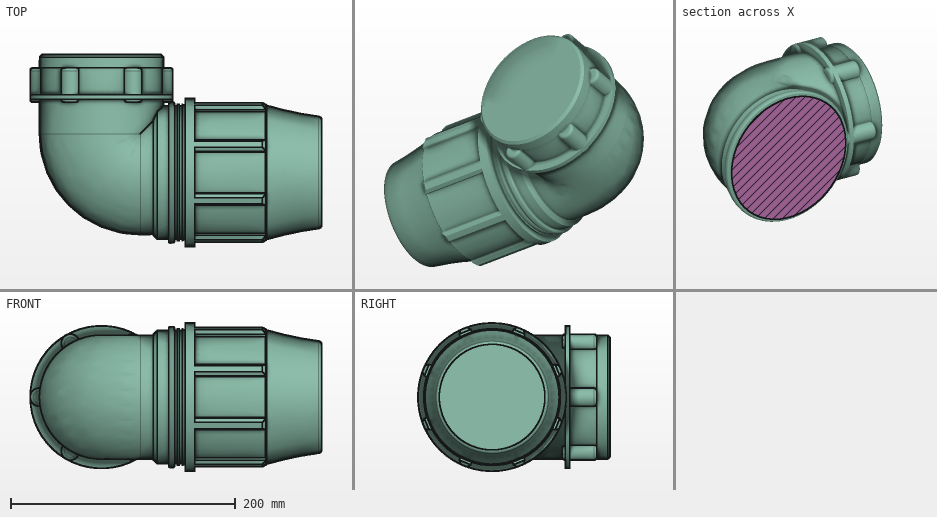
import cadquery as cq
import math


tube_radius = 110.4 / 2
collar_radius = 118.8 / 2
thread_radius = 121.64 / 2
seal_ring_radius = 125.4 / 2
branch_flange_radius = 126.96 / 2
nut_flange_radius = 132 / 2
overall_length = 259.48
branch_end_y = 105.0
coupling_end_x = overall_length - branch_flange_radius

bend_radius = 34.3

collar_start_x = 46.2
collar_full_x = 49.8
collar_start_radius = 56.0

seal_ring_start_x = 59.6
seal_ring_width = 5.4
seal_ring_fillet = 1.8

first_thread_x = 67.2
first_thread_width = 2.0
second_thread_x = 71.7

nut_flange_x = 74.3
nut_body_x = 83.0
nut_body_end_x = 147.0
nut_body_radius = thread_radius
nut_body_chamfer = 1.2
cone_end_x = 192.6
cone_end_radius = 50.0
cone_sag = 0.9
nut_tip_radius = 47.0

rib_count = 8
rib_top_half_width = 2.9
rib_half_width = 5.5
rib_shoulder_radius = 62.9
rib_root_depth = 4.0
rib_length = 63.2
rib_end_chamfer = nut_flange_radius - rib_shoulder_radius

rim_chamfer = 2.3
recess_radius = 54.4
recess_top_y = 93.1
branch_flange_top_y = 69.2
branch_flange_bottom_y = 65.1

lug_count = 6
lug_radius = 8.1
lug_fillet = 2.6
lug_bottom_y = branch_flange_bottom_y - lug_fillet
lug_circle_radius = branch_flange_radius - lug_radius

full_turn = 360
quarter_turn = 90


def make_bend():
    """Quarter turn of the tube, keeping only the material outside the bend axis."""
    half_chord = math.sqrt(tube_radius**2 - bend_radius**2)
    return (
        cq.Workplane("XZ", origin=(0, bend_radius, 0))
        .moveTo(bend_radius, -half_chord)
        .threePointArc((-tube_radius, 0), (bend_radius, half_chord))
        .close()
        .revolve(quarter_turn, (bend_radius, -1, 0), (bend_radius, 1, 0))
    )


def make_branch():
    """Stepped branch tube with its chamfered rim and flange, turned about Y."""
    profile = (
        cq.Workplane("XY")
        .moveTo(0, bend_radius)
        .lineTo(tube_radius, bend_radius)
        .lineTo(tube_radius, branch_flange_bottom_y)
        .lineTo(branch_flange_radius, branch_flange_bottom_y)
        .lineTo(branch_flange_radius, branch_flange_top_y)
        .lineTo(recess_radius, branch_flange_top_y)
        .lineTo(recess_radius, recess_top_y)
        .lineTo(tube_radius, recess_top_y)
        .lineTo(tube_radius, branch_end_y - rim_chamfer)
        .lineTo(tube_radius - rim_chamfer, branch_end_y)
        .lineTo(0, branch_end_y)
        .close()
    )
    return profile.revolve(full_turn, (0, 0, 0), (0, 1, 0))


def make_lugs():
    """Round-ended lugs spaced evenly around the branch collar."""
    return (
        cq.Workplane("XZ", origin=(0, recess_top_y, 0))
        .polarArray(lug_circle_radius, 0, full_turn, lug_count)
        .circle(lug_radius)
        .extrude(recess_top_y - lug_bottom_y)
        .edges("%CIRCLE")
        .fillet(lug_fillet)
    )


def make_coupling():
    """Tube, collar, threads and nut along X, turned as one profile."""
    cone_mid_x = (nut_body_end_x + cone_end_x) / 2
    cone_start_radius = nut_body_radius - nut_body_chamfer
    cone_mid_radius = (cone_start_radius + cone_end_radius) / 2 - cone_sag
    profile = (
        cq.Workplane("XY")
        .moveTo(bend_radius, 0)
        .lineTo(bend_radius, tube_radius)
        .lineTo(collar_start_x, tube_radius)
        .lineTo(collar_start_x, collar_start_radius)
        .lineTo(collar_full_x, collar_radius)
        .lineTo(first_thread_x, collar_radius)
        .lineTo(first_thread_x, thread_radius)
        .lineTo(first_thread_x + first_thread_width, thread_radius)
        .lineTo(first_thread_x + first_thread_width, collar_radius)
        .lineTo(second_thread_x, collar_radius)
        .lineTo(second_thread_x, thread_radius)
        .lineTo(nut_flange_x, collar_radius)
        .lineTo(nut_flange_x, nut_flange_radius)
        .lineTo(nut_body_x, nut_flange_radius)
        .lineTo(nut_body_x, nut_body_radius)
        .lineTo(nut_body_end_x - nut_body_chamfer, nut_body_radius)
        .lineTo(nut_body_end_x, cone_start_radius)
        .threePointArc((cone_mid_x, cone_mid_radius), (cone_end_x, cone_end_radius))
        .tangentArcPoint((coupling_end_x, nut_tip_radius), relative=False)
        .lineTo(coupling_end_x, 0)
        .close()
    )
    return profile.revolve(full_turn, (0, 0, 0), (1, 0, 0))


def make_seal_ring():
    """Ring with rounded shoulders seated on the collar."""
    return (
        cq.Workplane("YZ", origin=(seal_ring_start_x, 0, 0))
        .circle(seal_ring_radius)
        .extrude(seal_ring_width)
        .edges()
        .fillet(seal_ring_fillet)
    )


def make_ribs():
    """Grip ribs with bevelled tops, running from the nut flange along the nut body."""
    root_radius = nut_body_radius - rib_root_depth
    rib = (
        cq.Workplane("YZ", origin=(nut_body_x, 0, 0))
        .moveTo(-rib_half_width, root_radius)
        .lineTo(-rib_half_width, rib_shoulder_radius)
        .lineTo(-rib_top_half_width, nut_flange_radius)
        .lineTo(rib_top_half_width, nut_flange_radius)
        .lineTo(rib_half_width, rib_shoulder_radius)
        .lineTo(rib_half_width, root_radius)
        .close()
        .extrude(rib_length)
        .faces(">X")
        .edges(">Z")
        .chamfer(rib_end_chamfer)
    )
    pitch = full_turn / rib_count
    ribs = cq.Workplane("XY")
    for index in range(rib_count):
        ribs = ribs.add(rib.rotate((0, 0, 0), (1, 0, 0), (index + 0.5) * pitch))
    crown = (
        cq.Workplane("YZ", origin=(nut_body_x, 0, 0))
        .circle(nut_flange_radius)
        .extrude(rib_length)
    )
    return ribs.combine().intersect(crown)


result = (
    make_bend()
    .union(make_branch())
    .union(make_lugs())
    .union(make_coupling())
    .union(make_seal_ring())
    .union(make_ribs())
)